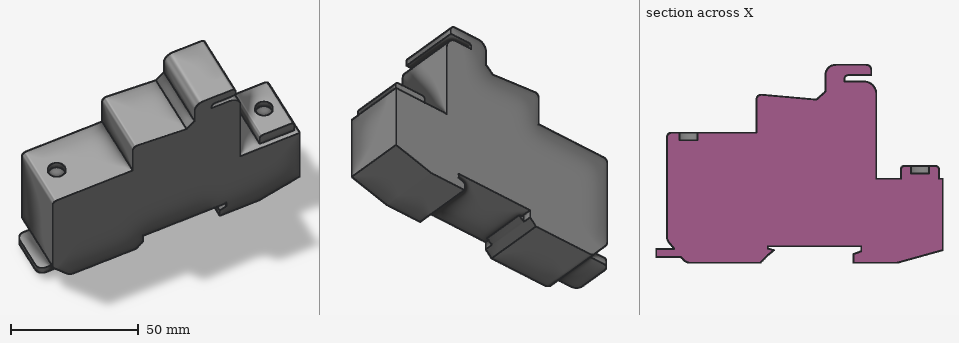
import cadquery as cq


body_width = 27.0
body_depth = 108.0
front_shelf_height = 51.0
back_shelf_height = 33.0
back_heel_height = 5.0
back_heel_y = 90.0
front_toe_height = 9.0
front_toe_y = 7.5
toe_radius = 4.0
edge_radius = 2.0

block_front_y = 35.0
block_front_height = 66.0
valley_y = 58.5
valley_height = 63.9
tower_back_y = 82.0
tower_height = 71.0
tower_radius = 5.0

hook_front_y = 62.0
hook_base_height = 67.0
hook_height = 77.5
hook_radius = 4.0
hook_tip_y = 80.0
hook_underside = 73.4
hook_slot_end_y = 69.5
hook_slot_radius = 1.5

groove_height = 6.5
groove_front_y = 39.5
groove_back_y = 76.0
groove_lead_in_y = 36.5
groove_lead_in_height = 3.0
lip_y = 73.0
lip_height = 3.5
lip_root_height = 4.6

latch_width = 19.5
tab_reach = 4.2
tab_bottom = 2.3
tab_thickness = 3.2
tab_corner_radius = 3.0
claw_tip_y = 42.0
claw_tip_height = 5.0
claw_top = 5.7
latch_overlap = 2.0

terminal_width = 22.8
terminal_depth = 15.0
terminal_top = 38.0
terminal_center_y = 99.0
terminal_radius = 1.5

screw_diameter = 7.0
screw_depth = 3.0
front_screw_y = 8.5


def extrude_across(points, width):
    """Extrude a closed (Y, Z) outline, centred on X = 0."""
    return cq.Workplane("YZ").polyline(points).close().extrude(width / 2, both=True)


def round_edge(solid, y, z, radius):
    """Round the full-width edge that passes through (Y, Z)."""
    edge = cq.selectors.NearestToPointSelector((0, y, z))
    return solid.edges("|X").edges(edge).fillet(radius)


def make_body():
    outline = [
        (front_toe_y, 0),
        (0, front_toe_height),
        (0, front_shelf_height),
        (block_front_y, front_shelf_height),
        (block_front_y, block_front_height),
        (valley_y, valley_height),
        (hook_front_y, hook_base_height),
        (hook_front_y, hook_height),
        (hook_tip_y, hook_height),
        (hook_tip_y, hook_underside),
        (hook_slot_end_y, hook_underside),
        (hook_slot_end_y, tower_height),
        (tower_back_y, tower_height),
        (tower_back_y, back_shelf_height),
        (body_depth, back_shelf_height),
        (body_depth, back_heel_height),
        (back_heel_y, 0),
        (lip_y, 0),
        (lip_y, lip_height),
        (groove_back_y, lip_root_height),
        (groove_back_y, groove_height),
        (groove_front_y, groove_height),
        (groove_front_y, groove_lead_in_height),
        (groove_lead_in_y, 0),
    ]
    rounded_corners = [
        (front_toe_y, 0, toe_radius),
        (0, front_toe_height, toe_radius),
        (0, front_shelf_height, edge_radius),
        (block_front_y, block_front_height, edge_radius),
        (hook_front_y, hook_height, hook_radius),
        (hook_tip_y, hook_height, edge_radius),
        (hook_slot_end_y, hook_underside, hook_slot_radius),
        (tower_back_y, tower_height, tower_radius),
    ]
    body = extrude_across(outline, body_width)
    for y, z, radius in rounded_corners:
        body = round_edge(body, y, z, radius)
    return body


def make_terminal():
    height = terminal_top - back_shelf_height
    return (
        cq.Workplane("XY", origin=(0, terminal_center_y, back_shelf_height))
        .box(terminal_width, terminal_depth, height, centered=(True, True, False))
        .edges("|X and >Z")
        .fillet(terminal_radius)
    )


def make_pull_tab():
    tab_back_y = front_toe_y + latch_overlap
    return (
        cq.Workplane("XY", origin=(0, -tab_reach, tab_bottom))
        .box(latch_width, tab_back_y + tab_reach, tab_thickness, centered=(True, False, False))
        .edges("|Z and <Y")
        .fillet(tab_corner_radius)
    )


def make_claw():
    claw_root_y = groove_front_y - latch_overlap
    outline = [
        (claw_root_y, groove_lead_in_height),
        (groove_front_y, groove_lead_in_height),
        (claw_tip_y, claw_tip_height),
        (groove_front_y, claw_top),
        (claw_root_y, claw_top),
    ]
    return extrude_across(outline, latch_width)


def make_screw_hole(y, top):
    return (
        cq.Workplane("XY", origin=(0, y, top))
        .circle(screw_diameter / 2)
        .extrude(-screw_depth)
    )


result = make_body().union(make_terminal()).union(make_pull_tab()).union(make_claw())
result = result.cut(make_screw_hole(front_screw_y, front_shelf_height))
result = result.cut(make_screw_hole(terminal_center_y, terminal_top))